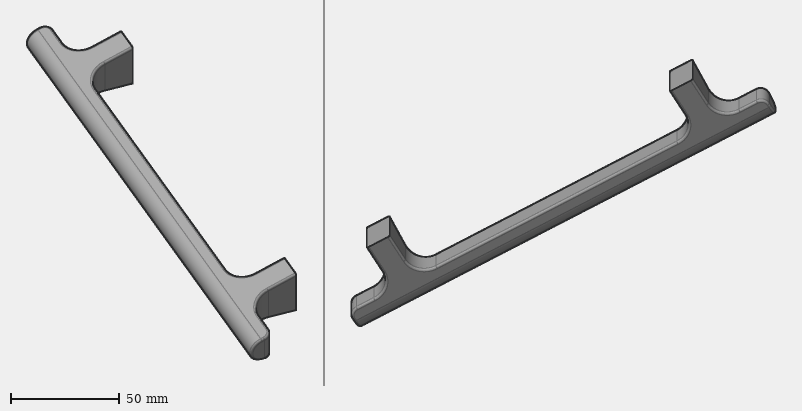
import cadquery as cq
import math

length = 220.0
depth = 36.7
foot_height = 25.5

grip_depth = 11.7
nose_radius = 7.0
post_spacing = 160.0
post_width = 12.0
post_blend_radius = 10.3
end_corner_radius = 4.5
edge_radius = 1.0

front_y = -depth / 2
wall_y = depth / 2
grip_back_y = front_y + grip_depth
nose_center_y = front_y + nose_radius


def make_plan():
    """Straight grip with two posts, extruded through the full height."""
    grip = (
        cq.Workplane("XY")
        .center(0, front_y + grip_depth / 2)
        .rect(length, grip_depth)
        .extrude(foot_height / 2, both=True)
        .edges("|Z and >Y")
        .fillet(end_corner_radius)
    )
    posts = (
        cq.Workplane("XY")
        .pushPoints([(side * post_spacing / 2, (front_y + wall_y) / 2) for side in (-1, 1)])
        .rect(post_width, depth)
        .extrude(foot_height / 2, both=True)
    )
    tolerance = 0.02
    inside_corners = cq.selectors.BoxSelector(
        (-post_spacing / 2 - post_width, grip_back_y - tolerance, -foot_height),
        (post_spacing / 2 + post_width, grip_back_y + tolerance, foot_height),
    )
    plan = grip.union(posts)
    return plan.edges("|Z").edges(inside_corners).fillet(post_blend_radius)


def make_tapered_section():
    """Side profile: tall at the wall, tapering tangentially into a round nose."""
    half_foot = foot_height / 2
    run = wall_y - nose_center_y
    tangent_angle = math.atan2(half_foot, run) + math.acos(nose_radius / math.hypot(run, half_foot))
    tangent_y = nose_center_y + nose_radius * math.cos(tangent_angle)
    tangent_z = nose_radius * math.sin(tangent_angle)
    return (
        cq.Workplane("YZ")
        .moveTo(wall_y, -half_foot)
        .lineTo(tangent_y, -tangent_z)
        .threePointArc((front_y, 0), (tangent_y, tangent_z))
        .lineTo(wall_y, half_foot)
        .close()
        .extrude(length / 2, both=True)
    )


def round_outline_edges(body):
    """Round the outline edges, leaving the wall faces sharp and the smooth seams alone."""
    outline_edges = body.faces("<X or >X or <Z or >Z").edges("not |Z")
    nose_seams = body.faces("<Y").edges("|X")
    wall_edges = body.faces(">Y").edges()
    kept = nose_seams.vals() + wall_edges.vals()
    rounded = [edge for edge in outline_edges.vals() if not any(edge.isSame(other) for other in kept)]
    return body.newObject(rounded).fillet(edge_radius)


body = make_plan().intersect(make_tapered_section())
result = round_outline_edges(body)